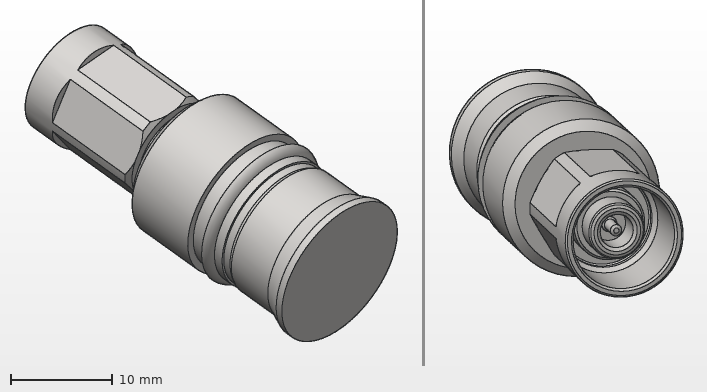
import cadquery as cq
import math

LENGTH = 38.3
MAX_RADIUS = 8.0

NUT_RADIUS = 6.0
NUT_END = 14.65
NUT_FRONT_CHAMFER_WIDTH = 0.2
NUT_FRONT_CHAMFER_LENGTH = 0.1
NUT_REAR_CHAMFER = 0.5
HEX_HALF_FLATS = 5.48
HEX_SIDES = 6
FLAT_START = 3.95
FLAT_SLOPE_LENGTH = 0.25

NECK_RADIUS = 4.55
SHELL_START = 16.28
SHELL_END = 25.05
SHELL_CHAMFER_WIDTH = 1.05
SHELL_CHAMFER_LENGTH = 0.92
BARREL_RADIUS = 7.25
FLANGE_START = 27.0
FLANGE_LENGTH = 1.05
FLANGE_BULGE = 0.2
GROOVE_RADIUS = 7.0
GROOVE_START = 29.1
GROOVE_END = 30.0
GROOVE_RAMP_LENGTH = 0.42
FLARE_START = 35.55
RIM_LENGTH = 0.8

BORE_RADIUS = 5.17
BORE_CHAMFER = 0.23
BORE_CONE_START = 6.9
SEAT_RADIUS = 4.7
SEAT_CHAMFER = 0.15
CAVITY_FLOOR = 8.05

COLLAR_RADIUS = 3.6
COLLAR_START = 5.75
COLLAR_CHAMFER = 0.23
TUBE_RADIUS = 2.85
TUBE_START = 2.85
LIP_TIP_RADIUS = 2.37
LIP_TIP_LENGTH = 0.1
LIP_MIDDLE_RADIUS = 2.7
LIP_REAR_LENGTH = 0.15
SOCKET_RADIUS = 1.7
SOCKET_CHAMFER_WIDTH = 0.35
SOCKET_CHAMFER_LENGTH = 0.23
SOCKET_FLOOR = 6.13

PIN_RADIUS = 0.57
PIN_TIP_RADIUS = 0.25
PIN_TIP = 3.2
PIN_TIP_LENGTH = 0.15
PIN_HUB_RADIUS = 0.75
PIN_HUB_START = 5.75


def body_of_revolution():
    """Solid from the nut to the rear end, with the cavity, contact tube and pin in one profile."""
    shell_chamfer_end = SHELL_START + SHELL_CHAMFER_LENGTH
    flange_end = FLANGE_START + FLANGE_LENGTH
    flange_middle = (FLANGE_START + FLANGE_LENGTH / 2, (MAX_RADIUS + BARREL_RADIUS) / 2 + FLANGE_BULGE)
    bore_cone_end = BORE_CONE_START + BORE_RADIUS - SEAT_RADIUS
    profile = (
        cq.Workplane("XZ")
        .moveTo(PIN_TIP, 0)
        .lineTo(PIN_TIP, PIN_TIP_RADIUS)
        .lineTo(PIN_TIP + PIN_TIP_LENGTH, PIN_RADIUS)
        .lineTo(PIN_HUB_START, PIN_RADIUS)
        .lineTo(PIN_HUB_START + PIN_HUB_RADIUS - PIN_RADIUS, PIN_HUB_RADIUS)
        .lineTo(SOCKET_FLOOR, PIN_HUB_RADIUS)
        .lineTo(SOCKET_FLOOR, SOCKET_RADIUS)
        .lineTo(TUBE_START + SOCKET_CHAMFER_LENGTH, SOCKET_RADIUS)
        .lineTo(TUBE_START, SOCKET_RADIUS + SOCKET_CHAMFER_WIDTH)
        .lineTo(TUBE_START, LIP_TIP_RADIUS)
        .lineTo(TUBE_START + LIP_TIP_LENGTH, LIP_MIDDLE_RADIUS)
        .lineTo(TUBE_START + LIP_TIP_LENGTH + LIP_REAR_LENGTH, TUBE_RADIUS)
        .lineTo(COLLAR_START, TUBE_RADIUS)
        .lineTo(COLLAR_START, COLLAR_RADIUS - COLLAR_CHAMFER)
        .lineTo(COLLAR_START + COLLAR_CHAMFER, COLLAR_RADIUS)
        .lineTo(CAVITY_FLOOR, COLLAR_RADIUS)
        .lineTo(CAVITY_FLOOR, SEAT_RADIUS - SEAT_CHAMFER)
        .lineTo(CAVITY_FLOOR - SEAT_CHAMFER, SEAT_RADIUS)
        .lineTo(bore_cone_end, SEAT_RADIUS)
        .lineTo(BORE_CONE_START, BORE_RADIUS)
        .lineTo(BORE_CHAMFER, BORE_RADIUS)
        .lineTo(0, BORE_RADIUS + BORE_CHAMFER)
        .lineTo(0, NUT_RADIUS - NUT_FRONT_CHAMFER_WIDTH)
        .lineTo(NUT_FRONT_CHAMFER_LENGTH, NUT_RADIUS)
        .lineTo(NUT_END - NUT_REAR_CHAMFER, NUT_RADIUS)
        .lineTo(NUT_END, NUT_RADIUS - NUT_REAR_CHAMFER)
        .lineTo(NUT_END, NECK_RADIUS)
        .lineTo(SHELL_START, NECK_RADIUS)
        .lineTo(SHELL_START, MAX_RADIUS - SHELL_CHAMFER_WIDTH)
        .lineTo(shell_chamfer_end, MAX_RADIUS)
        .lineTo(SHELL_END, MAX_RADIUS)
        .lineTo(SHELL_END, BARREL_RADIUS)
        .lineTo(FLANGE_START, BARREL_RADIUS)
        .lineTo(FLANGE_START, MAX_RADIUS)
        .threePointArc(flange_middle, (flange_end, BARREL_RADIUS))
        .lineTo(GROOVE_START, BARREL_RADIUS)
        .lineTo(GROOVE_START, GROOVE_RADIUS)
        .lineTo(GROOVE_END, GROOVE_RADIUS)
        .lineTo(GROOVE_END + GROOVE_RAMP_LENGTH, BARREL_RADIUS)
        .lineTo(FLARE_START, BARREL_RADIUS)
        .lineTo(LENGTH - RIM_LENGTH, MAX_RADIUS)
        .lineTo(LENGTH, MAX_RADIUS)
        .lineTo(LENGTH, 0)
        .close()
    )
    return profile.revolve(360, (0, 0, 0), (1, 0, 0))


def flat_cutter():
    """Block that cuts the top wrench flat, with a sloped front end that runs out at the nut surface."""
    half_width = HEX_HALF_FLATS * math.tan(math.pi / HEX_SIDES)
    return (
        cq.Workplane("XZ")
        .moveTo(FLAT_START, HEX_HALF_FLATS)
        .lineTo(FLAT_START - FLAT_SLOPE_LENGTH, NUT_RADIUS)
        .lineTo(NUT_END, NUT_RADIUS)
        .lineTo(NUT_END, HEX_HALF_FLATS)
        .close()
        .extrude(half_width, both=True)
    )


result = body_of_revolution()
top_flat = flat_cutter()
for side in range(HEX_SIDES):
    result = result.cut(top_flat.rotate((0, 0, 0), (1, 0, 0), side * 360 / HEX_SIDES))